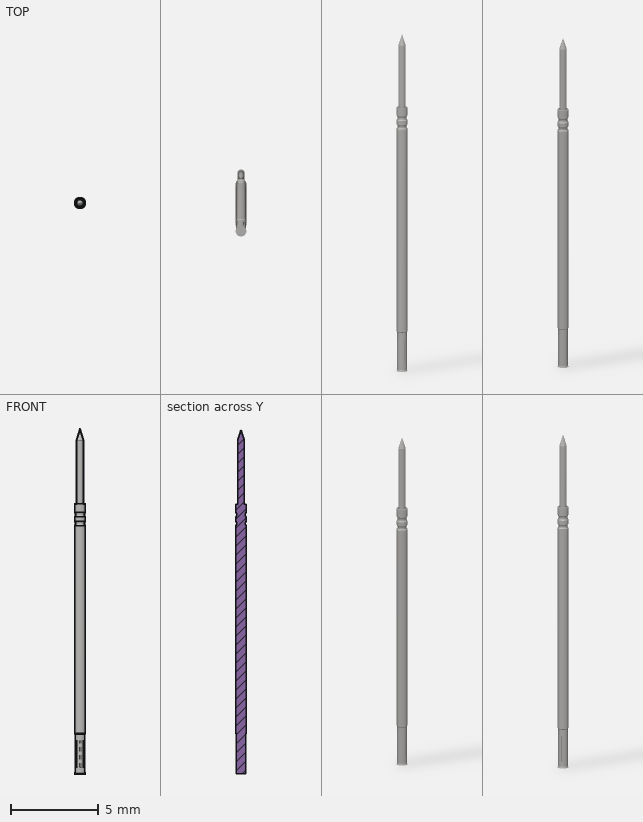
import cadquery as cq

total_length = 19.8
barrel_bottom = 2.3
barrel_top = 15.5
tip_length = 0.65
tip_base = total_length - tip_length

barrel_radius = 0.31
plunger_radius = 0.205
tail_radius = 0.28

flare_height = 0.1
barrel_bevel = 0.04

groove_depth = 0.05
grooves = [(14.37, 0.25), (14.88, 0.27)]

slot_count = 3
slot_first_angle = 90.0
slot_bottom = 0.4
slot_top = 1.92
slot_width = 0.09
slot_depth = 0.05


def make_pin():
    """Revolve the outer profile, from the tail end up to the pointed tip."""
    profile = (
        cq.Workplane("XZ")
        .lineTo(barrel_radius, 0)
        .lineTo(tail_radius, flare_height)
        .lineTo(tail_radius, barrel_bottom)
        .lineTo(barrel_radius, barrel_bottom + barrel_bevel)
    )
    for centre, width in grooves:
        profile = (
            profile.lineTo(barrel_radius, centre - width / 2)
            .threePointArc(
                (barrel_radius - groove_depth, centre),
                (barrel_radius, centre + width / 2),
            )
        )
    profile = (
        profile.lineTo(barrel_radius, barrel_top)
        .lineTo(plunger_radius, barrel_top)
        .lineTo(plunger_radius, tip_base)
        .lineTo(0, total_length)
        .close()
    )
    return profile.revolve(360, (0, 0), (0, 1))


def cut_tail_slots(pin):
    """Cut the shallow lengthwise slots evenly around the tail."""
    slot_cutter = cq.Workplane("XY").box(
        2 * slot_depth, slot_width, slot_top - slot_bottom
    ).translate((tail_radius, 0, (slot_top + slot_bottom) / 2))
    for index in range(slot_count):
        angle = slot_first_angle + index * 360 / slot_count
        pin = pin.cut(slot_cutter.rotate((0, 0, 0), (0, 0, 1), angle))
    return pin


result = cut_tail_slots(make_pin())